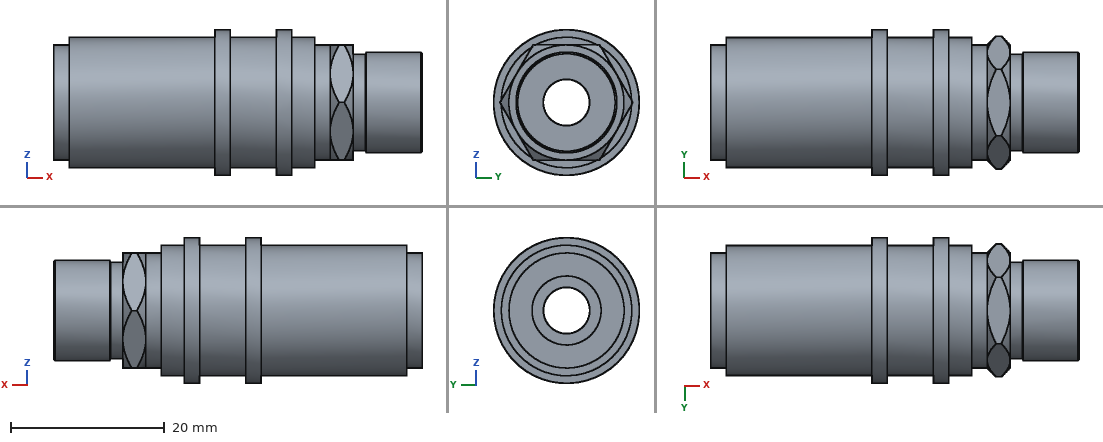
import cadquery as cq
import math

body_start = 2.0
flange_width = 2.0
front_flange_start = 21.0
rear_flange_start = 29.0
body_end = 34.0
nut_start = 36.0
nut_end = 39.0
thread_start = 40.6
total_length = 48.0

nose_diameter = 15.0
body_diameter = 17.0
flange_diameter = 19.0
collar_diameter = 15.0
relief_diameter = 12.6
thread_diameter = 13.15
bore_diameter = 6.0
socket_diameter = 9.0

nut_across_flats = 15.0
nut_cone_diameter = 15.0
thread_chamfer = 0.23
thread_shoulder_bevel = 0.12

socket_depth = front_flange_start


def cylinder(diameter, start, end):
    """Cylinder on the X axis between two axial stations."""
    return cq.Workplane("YZ").workplane(offset=start).circle(diameter / 2).extrude(end - start)


def flange(start):
    """Raised ring around the sleeve body."""
    return cylinder(flange_diameter, start, start + flange_width)


def hexagon_nut():
    """Hexagon with flats facing +/-Z and corners turned down at 45 degrees on both faces."""
    across_corners = nut_across_flats / math.cos(math.pi / 6)
    nut_width = nut_end - nut_start
    hexagon = (
        cq.Workplane("YZ")
        .workplane(offset=nut_start)
        .polygon(6, across_corners)
        .extrude(nut_width)
    )
    face_radius = nut_cone_diameter / 2
    middle_radius = face_radius + nut_width / 2
    envelope = (
        cq.Workplane("XY")
        .moveTo(nut_start, 0)
        .lineTo(nut_start, face_radius)
        .lineTo(nut_start + nut_width / 2, middle_radius)
        .lineTo(nut_end, face_radius)
        .lineTo(nut_end, 0)
        .close()
        .revolve(360, (0, 0, 0), (1, 0, 0))
    )
    return hexagon.intersect(envelope)


def threaded_end():
    """Plain cylinder for the thread, beveled from the relief groove and chamfered at the tip."""
    thread_radius = thread_diameter / 2
    relief_radius = relief_diameter / 2
    return (
        cq.Workplane("XY")
        .moveTo(thread_start, 0)
        .lineTo(thread_start, relief_radius)
        .lineTo(thread_start + thread_shoulder_bevel, thread_radius)
        .lineTo(total_length - thread_chamfer, thread_radius)
        .lineTo(total_length, thread_radius - thread_chamfer)
        .lineTo(total_length, 0)
        .close()
        .revolve(360, (0, 0, 0), (1, 0, 0))
    )


outside = (
    cylinder(nose_diameter, 0, body_start)
    .union(cylinder(body_diameter, body_start, body_end))
    .union(flange(front_flange_start))
    .union(flange(rear_flange_start))
    .union(cylinder(collar_diameter, body_end, nut_start))
    .union(hexagon_nut())
    .union(cylinder(relief_diameter, nut_end, thread_start))
    .union(threaded_end())
)

result = (
    outside
    .cut(cylinder(bore_diameter, 0, total_length))
    .cut(cylinder(socket_diameter, 0, socket_depth))
)